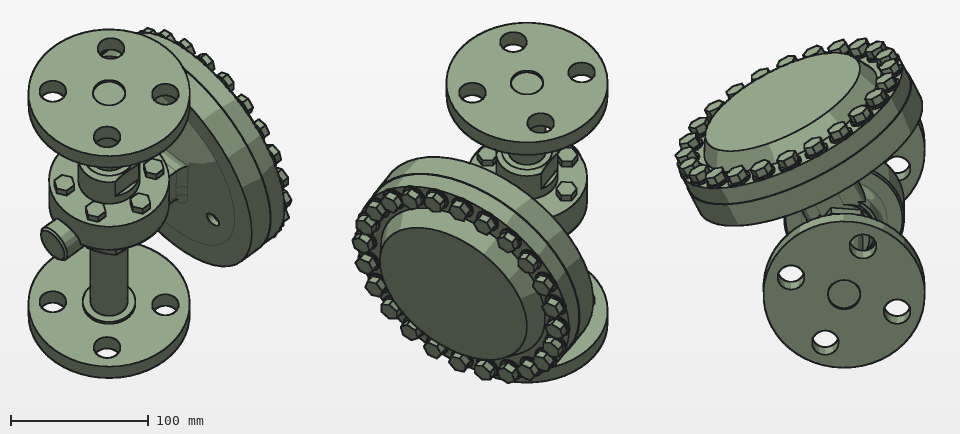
import cadquery as cq
import math


overall_height = 260.4
pipe_radius = 27.0 / 2
flange_radius = 58.5
flange_thickness = 13.5
flange_hole_diameter = 19.3
flange_hole_offset = 29.0
collar_radius = 38.3 / 2
collar_height = 2.3
bore_diameter = 23.5
bore_depth = 2.0

bonnet_radius = 87.2 / 2
bonnet_top = 28.5
body_bottom = -0.3
body_chamfer = 1.3
neck_radius = 25.0
neck_round = 6.0
neck_bottom = -23.2
neck_step_radius = 22.5
neck_step_height = 4.5
nut_across_flats = 38.3
nut_chamfer_height = 2.3
nut_end_radius = 18.2
upper_nut_radius = 22.5
upper_nut_top = 56.0
upper_nut_flat_bottom = 36.7
lower_nut_bottom = -35.0
corner_turn = 30.0

bolt_across_corners = 15.0
bonnet_bolt_head_height = 5.7
bonnet_bolt_count = 6
bonnet_bolt_circle_radius = 33.3
cover_bolt_head_height = 6.2
cover_bolt_count = 24
cover_bolt_circle_radius = 81.7
cover_bolt_turn = 15.0
washer_radius = 8.5
washer_thickness = 1.5

stub_radius = 14.0
stub_end = -56.0
stub_chamfer = 1.5

case_radius = 181.0 / 2
case_front = 57.3
case_joint = 76.3
cover_radius = 89.8
cover_face = 90.3
cone_radius = 144.0 / 2
cone_height = 9.5
crown_back = 104.0
crown_radius = 62.2
crown_base_radius = 69.5
vent_diameter = 11.5
vent_x = 51.5
vent_z = -18.5
vent_depth = 2.5

bracket_half_width = 22.5
bracket_top = 19.0
bracket_bottom = -23.2
bracket_corner_radius = 13.0
bracket_fillet = 6.2


def cylinder_z(radius, bottom, top):
    return cq.Workplane("XY").workplane(offset=bottom).circle(radius).extrude(top - bottom)


def ring_of_points(count, radius):
    """Points equally spaced round a circle, starting on the first axis."""
    step = 2 * math.pi / count
    return [(radius * math.cos(i * step), radius * math.sin(i * step)) for i in range(count)]


def make_upper_pipe_end():
    """Flange with bolt holes, bore and collar at the top of the run."""
    top = overall_height / 2
    underside = top - flange_thickness
    holes = [(x, y) for x in (-flange_hole_offset, flange_hole_offset)
             for y in (-flange_hole_offset, flange_hole_offset)]
    flange = (
        cylinder_z(flange_radius, underside, top)
        .faces(">Z").workplane(origin=(0, 0, top)).pushPoints(holes).hole(flange_hole_diameter)
        .faces(">Z").workplane(origin=(0, 0, top)).hole(bore_diameter, bore_depth)
    )
    return flange.union(cylinder_z(collar_radius, underside - collar_height, underside))


def make_pipe_run():
    end = make_upper_pipe_end()
    pipe_half_length = overall_height / 2 - flange_thickness
    pipe = cylinder_z(pipe_radius, -pipe_half_length, pipe_half_length)
    return pipe.union(end).union(end.mirror("XY"))


def make_body():
    """Round body, rounded into a narrower, stepped neck underneath."""
    step_top = neck_bottom + neck_step_height
    round_radius = neck_radius + neck_round
    round_middle = neck_round * (1 - math.sqrt(0.5))
    return (
        cq.Workplane("XZ")
        .moveTo(0, neck_bottom)
        .lineTo(neck_step_radius, neck_bottom)
        .lineTo(neck_step_radius, step_top)
        .lineTo(neck_radius, step_top)
        .lineTo(neck_radius, body_bottom - neck_round)
        .threePointArc((neck_radius + round_middle, body_bottom - round_middle), (round_radius, body_bottom))
        .lineTo(bonnet_radius - body_chamfer, body_bottom)
        .lineTo(bonnet_radius, body_bottom + body_chamfer)
        .lineTo(bonnet_radius, bonnet_top)
        .lineTo(0, bonnet_top)
        .close()
        .revolve(360, (0, 0), (0, 1))
    )


def make_bonnet_bolts():
    """Hexagon heads, all with corners on +Y and -Y."""
    head = (
        cq.Workplane("XY").workplane(offset=bonnet_top)
        .transformed(rotate=(0, 0, corner_turn))
        .polygon(6, bolt_across_corners).extrude(bonnet_bolt_head_height)
    )
    heads = cq.Workplane("XY")
    for x, y in ring_of_points(bonnet_bolt_count, bonnet_bolt_circle_radius):
        heads = heads.add(head.translate((x, y, 0)))
    return heads.combine()


def make_upper_nut():
    """Round nut with two wrench flats facing +X and -X."""
    nut = (
        cylinder_z(upper_nut_radius, bonnet_top, upper_nut_top)
        .faces(">Z").chamfer(nut_chamfer_height, upper_nut_radius - nut_end_radius)
    )
    flat_height = upper_nut_top - upper_nut_flat_bottom
    wrench_zone = (
        cq.Workplane("XY").workplane(offset=upper_nut_flat_bottom)
        .rect(nut_across_flats, 2 * upper_nut_radius).extrude(flat_height)
    )
    return nut.intersect(wrench_zone.union(cylinder_z(upper_nut_radius, bonnet_top, upper_nut_flat_bottom)))


def make_lower_nut():
    """Hexagon nut with corners on +Y and -Y and a turned lower edge."""
    corner_radius = nut_across_flats / math.sqrt(3)
    hexagon = (
        cq.Workplane("XY").workplane(offset=lower_nut_bottom)
        .transformed(rotate=(0, 0, corner_turn))
        .polygon(6, 2 * corner_radius).extrude(neck_bottom - lower_nut_bottom)
    )
    turned = (
        cylinder_z(corner_radius, lower_nut_bottom, neck_bottom)
        .faces("<Z").chamfer(nut_chamfer_height, corner_radius - nut_end_radius)
    )
    return hexagon.intersect(turned)


def make_stub():
    return (
        cq.Workplane("XZ").circle(stub_radius).extrude(-stub_end)
        .faces("<Y").chamfer(stub_chamfer)
    )


def make_case():
    """Actuator case and cover, turned about Y."""
    outline = [
        (0, case_front - cone_height),
        (cone_radius, case_front),
        (case_radius, case_front),
        (case_radius, case_joint),
        (cover_radius, case_joint),
        (cover_radius, cover_face),
        (crown_base_radius, cover_face),
        (crown_radius, crown_back),
        (0, crown_back),
    ]
    return cq.Workplane("XY").polyline(outline).close().revolve(360, (0, 0), (0, 1))


def make_bracket():
    width = 2 * bracket_half_width
    height = bracket_top - bracket_bottom
    return (
        cq.Workplane("XY")
        .box(width, case_joint, height, centered=(True, False, False))
        .translate((0, 0, bracket_bottom))
        .edges("|Y and <Z").fillet(bracket_corner_radius)
    )


def make_actuator():
    """Case and bracket with a fillet where they meet, and the vent hole."""
    joined = make_case().union(make_bracket())
    reach = bracket_half_width + bracket_fillet
    rim_margin = 0.3
    seam = cq.selectors.BoxSelector(
        (-reach, case_front - cone_height, -reach), (reach, case_front - rim_margin, reach))
    vent_bottom = case_front + vent_depth
    vent = (
        cq.Workplane("XZ").workplane(offset=-vent_bottom)
        .center(vent_x, vent_z).circle(vent_diameter / 2).extrude(vent_bottom)
    )
    return joined.edges(seam).fillet(bracket_fillet).cut(vent)


def make_cover_bolts():
    """Washers and hexagon heads, each bolt turned along with its place on the circle."""
    face = cq.Workplane("XZ").workplane(offset=-cover_face)
    washer = face.circle(washer_radius).extrude(-washer_thickness)
    head = (
        face.transformed(rotate=(0, 0, cover_bolt_turn))
        .polygon(6, bolt_across_corners).extrude(-washer_thickness - cover_bolt_head_height)
    )
    bolt = washer.union(head).translate((cover_bolt_circle_radius, 0, 0))
    bolts = cq.Workplane("XY")
    for i in range(cover_bolt_count):
        bolts = bolts.add(bolt.rotate((0, 0, 0), (0, -1, 0), i * 360 / cover_bolt_count))
    return bolts.combine()


result = (
    make_actuator()
    .union(make_cover_bolts())
    .union(make_body())
    .union(make_stub())
    .union(make_bonnet_bolts())
    .union(make_upper_nut())
    .union(make_lower_nut())
    .union(make_pipe_run())
)